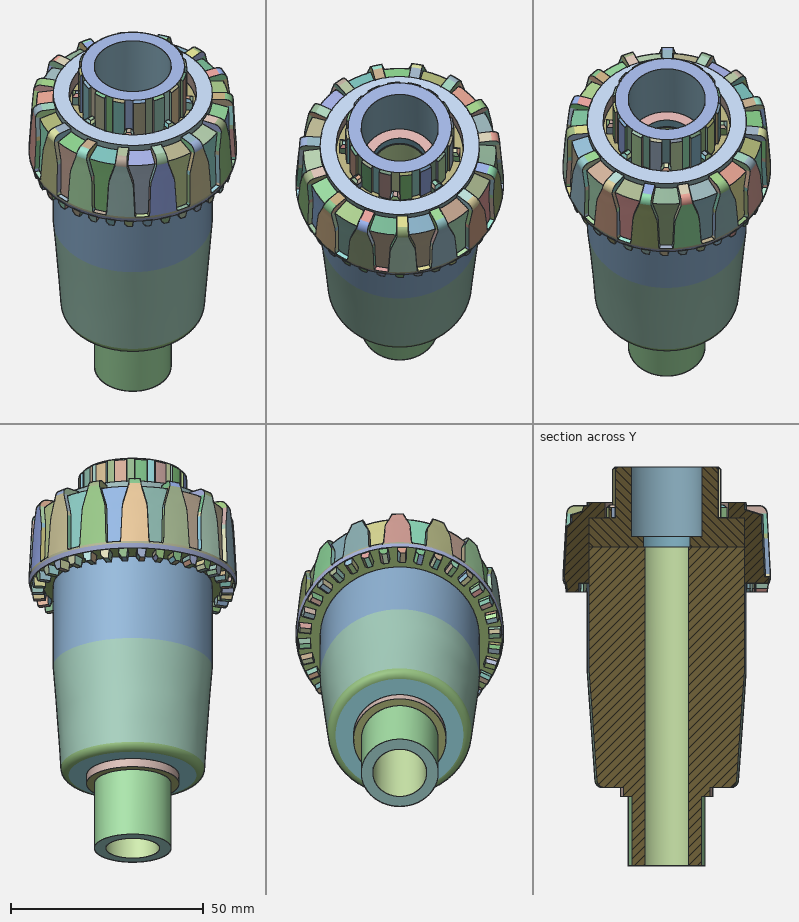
import cadquery as cq

TOTAL_HEIGHT = 103.5
COLLAR_Z = 18.0
BOWL_BOTTOM_Z = 20.3
BOWL_TAPER_Z = 50.4
JOINT_Z = 82.8
NUT_BOTTOM_Z = 73.3
RIM_BOTTOM_Z = 74.4
RIM_TOP_Z = 75.0
SHOULDER_Z = 90.4
NUT_TOP_Z = 94.3

PIPE_DIA = 20.0
COLLAR_DIA = 24.0
BOWL_BOTTOM_DIA = 37.1
BARREL_DIA = 41.3
BOWL_FILLET = 2.1
HOUSING_BORE_DIA = 14.0

SPIGOT_DIA = 28.0
TOOTH_HEIGHT = 0.6
TOOTH_WIDTH = 3.2
TOOTH_COUNT = 16
SOCKET_DIA = PIPE_DIA
SOCKET_DEPTH = COLLAR_Z
CONNECTOR_BORE_DIA = 14.5
LUG_COUNT = TOOTH_COUNT // 2
LUG_WIDTH = 2.6
LUG_OUTER_RADIUS = 15.6
LUG_HEIGHT = 3.3
LUG_CHAMFER = 0.7

RIM_DIA = 53.9
NUT_BOTTOM_DIA = 53.2
LIP_HOLE_DIA = 33.0
VALLEY_BOTTOM_RADIUS = 25.8
VALLEY_TOP_RADIUS = 24.9
VALLEY_EDGE_Z = 91.1
VALLEY_CREST_Z = 92.4
RIB_COUNT = 15
RIB_FIRST_ANGLE = 14.6
RIB_TOP_Z = 93.5
RIB_TOP_RADIUS = 26.0
RIB_FILLET = 2.1
RIB_SHOULDER_Z = 91.4
RIB_BEND_TOP_Z = 86.1
RIB_BEND_BOTTOM_Z = 84.9
RIB_FOOT_Z = 75.7
RIB_TOP_WIDTH = 2.8
RIB_SHOULDER_WIDTH = 3.2
RIB_BEND_TOP_WIDTH = 6.2
RIB_BEND_BOTTOM_WIDTH = 6.5
RIB_FOOT_WIDTH = 7.3
RIB_BOTTOM_WIDTH = 7.8
BUMP_COUNT = 34
BUMP_FIRST_ANGLE = 8.0
BUMP_HEIGHT = 2.3
BUMP_SIDE_HEIGHT = 1.2
BUMP_WIDTH = 2.4
BUMP_CHAMFER = 0.7
BUMP_SLOPE = 0.3
BUMP_INNER_RADIUS = 23.2
BUMP_OUTER_RADIUS = 26.4
BUMP_TIP_RADIUS = 26.1


def cylinder(diameter, bottom, top):
    """Upright cylinder on the Z axis."""
    return cq.Workplane("XY").workplane(offset=bottom).circle(diameter / 2).extrude(top - bottom)


def turned(points):
    """Body of revolution about Z from (radius, height) points."""
    return cq.Workplane("XZ").polyline(points).close().revolve(360, (0, 0), (0, 1))


def ring_angles(count, first):
    """Equally spaced angles, in degrees, of a full ring."""
    return [first + 360 * index / count for index in range(count)]


def radial_prism(outline, length):
    """Prism along +X from (Y, Z) points."""
    return cq.Workplane("YZ").polyline(outline).close().extrude(length)


def symmetric_prism(half_outline, length):
    """Prism along +X, symmetric about the XZ plane, from (half width, height) points."""
    mirrored = [(-half_width, height) for half_width, height in reversed(half_outline)]
    return radial_prism(half_outline + mirrored, length)


def copies_around(shape, angles):
    """Copies of one solid turned about Z to each angle."""
    return [shape.rotate((0, 0, 0), (0, 0, 1), angle) for angle in angles]


def make_housing():
    """Barrel with a tapered bowl, a collar and the tail pipe, bored through."""
    bowl = turned([
        (0, BOWL_BOTTOM_Z),
        (BOWL_BOTTOM_DIA / 2, BOWL_BOTTOM_Z),
        (BARREL_DIA / 2, BOWL_TAPER_Z),
        (BARREL_DIA / 2, JOINT_Z),
        (0, JOINT_Z),
    ]).faces("<Z").edges().fillet(BOWL_FILLET)
    collar = cylinder(COLLAR_DIA, COLLAR_Z, BOWL_BOTTOM_Z)
    pipe = cylinder(PIPE_DIA, 0, COLLAR_Z)
    housing = bowl.union(collar).union(pipe).cut(cylinder(HOUSING_BORE_DIA, 0, JOINT_Z))
    return housing.solids()


def make_tooth():
    """Spigot tooth on the +X side, its top sloping down to the tooth crest."""
    root_radius = SPIGOT_DIA / 2 - TOOTH_HEIGHT
    crest = turned([
        (0, SHOULDER_Z),
        (SPIGOT_DIA / 2, SHOULDER_Z),
        (SPIGOT_DIA / 2, TOTAL_HEIGHT - TOOTH_HEIGHT),
        (root_radius, TOTAL_HEIGHT),
        (0, TOTAL_HEIGHT),
    ])
    outline = [(TOOTH_WIDTH / 2, SHOULDER_Z), (TOOTH_WIDTH / 2, TOTAL_HEIGHT)]
    return crest.intersect(symmetric_prism(outline, SPIGOT_DIA))


def make_lug():
    """Chamfered block standing on the flange, on the +X side."""
    outline = [(LUG_WIDTH / 2, SHOULDER_Z), (LUG_WIDTH / 2, SHOULDER_Z + LUG_HEIGHT)]
    return symmetric_prism(outline, LUG_OUTER_RADIUS).faces(">Z").edges().chamfer(LUG_CHAMFER)


def make_connector():
    """Flange and toothed spigot with lugs between every other pair of teeth."""
    flange = cylinder(BARREL_DIA, JOINT_Z, SHOULDER_Z)
    spigot = cylinder(SPIGOT_DIA - 2 * TOOTH_HEIGHT, JOINT_Z, TOTAL_HEIGHT)
    connector = flange.union(spigot)
    for tooth in copies_around(make_tooth(), ring_angles(TOOTH_COUNT, 0)):
        connector = connector.union(tooth)
    half_tooth_pitch = 180 / TOOTH_COUNT
    for lug in copies_around(make_lug(), ring_angles(LUG_COUNT, half_tooth_pitch)):
        connector = connector.union(lug)
    bore = cylinder(CONNECTOR_BORE_DIA, JOINT_Z, TOTAL_HEIGHT)
    socket = cylinder(SOCKET_DIA, TOTAL_HEIGHT - SOCKET_DEPTH, TOTAL_HEIGHT)
    return connector.cut(bore).cut(socket).solids()


def make_nut_core():
    """Nut without ribs, bumps and holes."""
    return turned([
        (0, NUT_BOTTOM_Z),
        (NUT_BOTTOM_DIA / 2, NUT_BOTTOM_Z),
        (RIM_DIA / 2, RIM_BOTTOM_Z),
        (RIM_DIA / 2, RIM_TOP_Z),
        (VALLEY_BOTTOM_RADIUS, RIM_TOP_Z),
        (VALLEY_TOP_RADIUS, VALLEY_EDGE_Z),
        (BARREL_DIA / 2, VALLEY_CREST_Z),
        (BARREL_DIA / 2, NUT_TOP_Z),
        (0, NUT_TOP_Z),
    ])


def make_rib():
    """Grip rib on the +X side, widening downwards, with a rounded top corner."""
    envelope = turned([
        (0, RIM_TOP_Z),
        (RIM_DIA / 2, RIM_TOP_Z),
        (RIB_TOP_RADIUS, RIB_TOP_Z),
        (0, RIB_TOP_Z),
    ]).faces(">Z").edges().fillet(RIB_FILLET)
    outline = [
        (RIB_BOTTOM_WIDTH / 2, RIM_TOP_Z),
        (RIB_FOOT_WIDTH / 2, RIB_FOOT_Z),
        (RIB_BEND_BOTTOM_WIDTH / 2, RIB_BEND_BOTTOM_Z),
        (RIB_BEND_TOP_WIDTH / 2, RIB_BEND_TOP_Z),
        (RIB_SHOULDER_WIDTH / 2, RIB_SHOULDER_Z),
        (RIB_TOP_WIDTH / 2, RIB_TOP_Z),
    ]
    return envelope.intersect(symmetric_prism(outline, RIM_DIA))


def make_bump():
    """Bump under the nut's rim on the +X side, chamfered at its clockwise tip."""
    bottom = NUT_BOTTOM_Z - BUMP_HEIGHT
    envelope = turned([
        (BUMP_INNER_RADIUS, bottom),
        (BUMP_TIP_RADIUS, bottom),
        (BUMP_OUTER_RADIUS, NUT_BOTTOM_Z),
        (BUMP_INNER_RADIUS, NUT_BOTTOM_Z),
    ])
    outline = [
        (BUMP_WIDTH / 2, NUT_BOTTOM_Z),
        (-BUMP_WIDTH / 2, NUT_BOTTOM_Z),
        (-BUMP_WIDTH / 2, NUT_BOTTOM_Z - BUMP_SIDE_HEIGHT),
        (BUMP_CHAMFER - BUMP_WIDTH / 2, bottom),
        (BUMP_WIDTH / 2 - BUMP_SLOPE, bottom),
    ]
    return envelope.intersect(radial_prism(outline, RIM_DIA))


def make_nut():
    """Ribbed nut around the housing, its lip over the connector's flange."""
    nut = make_nut_core()
    for rib in copies_around(make_rib(), ring_angles(RIB_COUNT, RIB_FIRST_ANGLE)):
        nut = nut.union(rib)
    for bump in copies_around(make_bump(), ring_angles(BUMP_COUNT, BUMP_FIRST_ANGLE)):
        nut = nut.union(bump)
    cavity = cylinder(BARREL_DIA, NUT_BOTTOM_Z, SHOULDER_Z)
    lip_hole = cylinder(LIP_HOLE_DIA, SHOULDER_Z, NUT_TOP_Z)
    return nut.cut(cavity).cut(lip_hole).solids()


housing = make_housing()
connector = make_connector()
nut = make_nut()
result = cq.Compound.makeCompound([housing.val(), connector.val(), nut.val()])